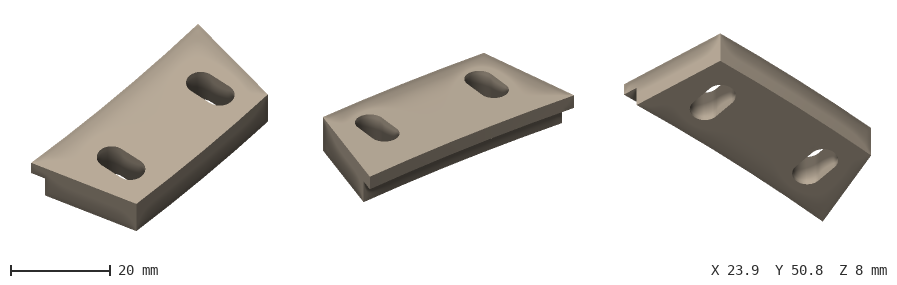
import cadquery as cq
import math

length = 50.85
thickness = 23.05
height = 8.0
inner_radius = 422.9
outer_half_chord = 20.05
ledge_height = 3.0
ledge_width = 3.05
slot_length = 11.0
slot_width = 6.0
slot_spacing = 27.2
slot_x = 12.85
tilt = 0.14

outer_radius = inner_radius + thickness
inner_half_chord = length / 2


def arc_x(radius, y):
    """X of a concentric arc at height y."""
    return math.sqrt(radius**2 - y**2) - inner_radius


inner_corner_x = arc_x(inner_radius, inner_half_chord)
outer_corner_x = arc_x(outer_radius, outer_half_chord)


def plate():
    """Full-height block with two curved sides and two sloped ends."""
    return (
        cq.Workplane("XY")
        .moveTo(inner_corner_x, -inner_half_chord)
        .lineTo(outer_corner_x, -outer_half_chord)
        .threePointArc((thickness, 0), (outer_corner_x, outer_half_chord))
        .lineTo(inner_corner_x, inner_half_chord)
        .threePointArc((0, 0), (inner_corner_x, -inner_half_chord))
        .close()
        .extrude(height)
    )


def rebate():
    """Cutter for the step under the concave side, concentric with it."""
    return (
        cq.Workplane("XY")
        .center(-inner_radius, 0)
        .circle(inner_radius + ledge_width)
        .extrude(height - ledge_height)
    )


def slots():
    """Cutters for the two through slots."""
    return (
        cq.Workplane("XY")
        .pushPoints([(slot_x, side * slot_spacing / 2) for side in (-1, 1)])
        .slot2D(slot_length, slot_width)
        .extrude(height)
    )


body = plate().cut(rebate()).cut(slots())
result = body.rotate((0, 0, 0), (0, 0, 1), tilt)